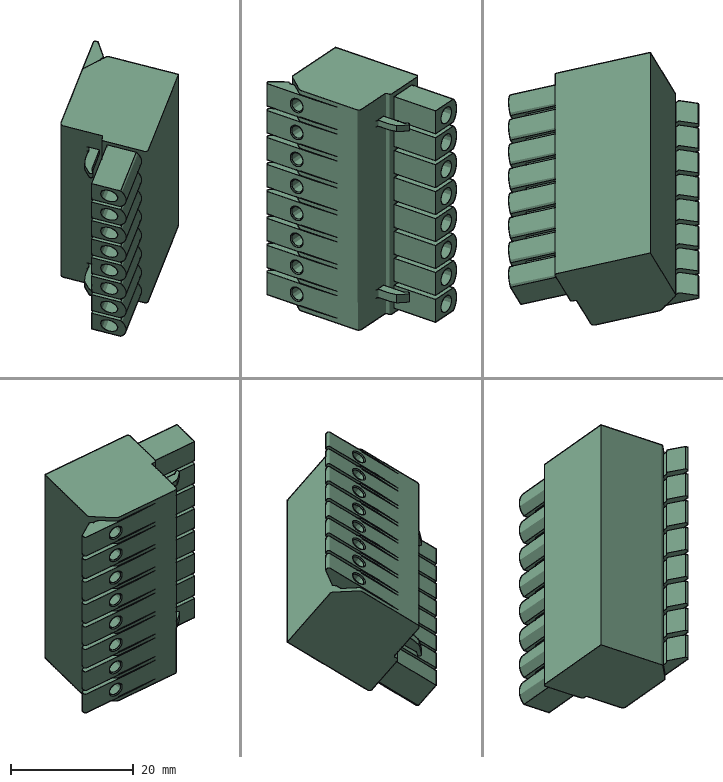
import cadquery as cq
import math


pole_count = 8
height = 40.9
pole_margin = 2.95
pole_pitch = (height - 2 * pole_margin) / (pole_count - 1)
pole_heights = [pole_margin + i * pole_pitch for i in range(pole_count)]

housing_left = 0.15
housing_right = 15.4
housing_back = 24.98
front_left = 9.25
front_right = 8.3
step_x = 7.52
bevel_y = 21.2
bevel_x = 3.23
front_radius = 0.6
step_radius = 0.35
step_root_radius = 0.15
right_radius = 0.5
bevel_side_radius = 1.1
bevel_back_radius = 0.65

sleeve_left = 8.55
sleeve_height = 4.25
sleeve_axis_x = 11.53
sleeve_radius = 2.9
sleeve_bore = 2.9
sleeve_bore_depth = 8.18

web_width = 2.9
web_front = 2.5

lever_height = 4.15
lever_offset_z = 0.1
lever_back = 27.9
lever_tip_width = 0.75
lever_tip_radius = 0.35
lever_nose_x = 2.55
lever_nose_y = 25.2
lever_nose_radius = 0.25
lever_neck_x = 2.2
lever_neck_y = 24.6
lever_root_y = 20.45
ramp_back = 17.85
ramp_front = 13.75

wire_hole_y = 21.7
wire_hole = 2.2
wire_hole_rim = 2.58
wire_hole_depth = 4.1
rim_chamfer = (wire_hole_rim - wire_hole) / 2

latch_inset = 4.0
lower_latch_height = 1.5
upper_latch_height = 1.1
latch_left = 5.27
latch_right = 6.9
latch_flare = 0.45
latch_bend_y = 6.85
latch_knee_start = (5.5, 5.65)
latch_knee_end = (5.72, 5.35)
latch_hook_neck_y = 5.15
latch_hook_x = 7.0
latch_hook_y = 4.5
latch_hook_radius = 0.33


def make_housing():
    """Constant-section housing with a stepped front and a bevelled back corner."""
    body = (
        cq.Workplane("XY")
        .moveTo(housing_left, front_left)
        .lineTo(step_x, front_left)
        .lineTo(step_x, front_right)
        .lineTo(housing_right, front_right)
        .lineTo(housing_right, housing_back)
        .lineTo(bevel_x, housing_back)
        .lineTo(housing_left, bevel_y)
        .close()
        .extrude(height)
    )

    def round_edge(solid, x, y, radius):
        edge = cq.selectors.NearestToPointSelector((x, y, height / 2))
        return solid.edges("|Z").edges(edge).fillet(radius)

    body = round_edge(body, housing_left, front_left, front_radius)
    body = round_edge(body, step_x, front_right, step_radius)
    body = round_edge(body, step_x, front_left, step_root_radius)
    body = round_edge(body, housing_right, front_right, right_radius)
    body = round_edge(body, housing_left, bevel_y, bevel_side_radius)
    return round_edge(body, bevel_x, housing_back, bevel_back_radius)


def make_sleeve(z):
    """Sleeve with three flat sides and a round side concentric with its bore."""
    half_height = sleeve_height / 2
    flat_end_x = sleeve_axis_x + math.sqrt(sleeve_radius**2 - half_height**2)
    return (
        cq.Workplane("XZ")
        .moveTo(sleeve_left, z - half_height)
        .lineTo(flat_end_x, z - half_height)
        .threePointArc((sleeve_axis_x + sleeve_radius, z), (flat_end_x, z + half_height))
        .lineTo(sleeve_left, z + half_height)
        .close()
        .extrude(-front_right)
    )


def make_web():
    """Rib set back from the sleeve tips, running from the first pole to the last."""
    return cq.Workplane("XY").box(
        web_width,
        front_right - web_front,
        pole_heights[-1] - pole_heights[0],
        centered=(True, False, False),
    ).translate((sleeve_axis_x, web_front, pole_heights[0]))


def make_lever(z):
    """Lever standing proud of the housing side, ramping down to it at the front."""
    lever = (
        cq.Workplane("XY")
        .workplane(offset=z + lever_offset_z - lever_height / 2)
        .moveTo(0, lever_back)
        .lineTo(lever_tip_width, lever_back)
        .lineTo(lever_nose_x, lever_nose_y)
        .lineTo(lever_neck_x, lever_neck_y)
        .lineTo(lever_neck_x, lever_root_y)
        .lineTo(housing_left, ramp_front)
        .lineTo(0, ramp_back)
        .close()
        .extrude(lever_height)
    )
    tip = cq.selectors.NearestToPointSelector((0, lever_back, z))
    nose = cq.selectors.NearestToPointSelector((lever_nose_x, lever_nose_y, z))
    lever = lever.edges("|Z").edges(tip).fillet(lever_tip_radius)
    return lever.edges("|Z").edges(nose).fillet(lever_nose_radius)


def make_latch(bottom_z, latch_height):
    """Hooked latch finger with a flared root, a bent knee and a round hook."""
    hook_diagonal = latch_hook_radius * math.sqrt(0.5)
    flare_middle = latch_flare * (1 - math.sqrt(0.5))
    return (
        cq.Workplane("XY")
        .workplane(offset=bottom_z)
        .moveTo(latch_left - latch_flare, front_left)
        .threePointArc(
            (latch_left - flare_middle, front_left - flare_middle),
            (latch_left, front_left - latch_flare),
        )
        .lineTo(latch_left, latch_bend_y)
        .lineTo(*latch_knee_start)
        .lineTo(*latch_knee_end)
        .lineTo(latch_hook_x - hook_diagonal, latch_hook_y - hook_diagonal)
        .threePointArc(
            (latch_hook_x + hook_diagonal, latch_hook_y - hook_diagonal),
            (latch_hook_x + hook_diagonal, latch_hook_y + hook_diagonal),
        )
        .lineTo(latch_right, latch_hook_neck_y)
        .lineTo(latch_right, front_left)
        .close()
        .extrude(latch_height)
    )


def make_wire_hole(z):
    """Blind hole along X with a chamfered rim at the lever face."""
    bore = (
        cq.Workplane("YZ")
        .center(wire_hole_y, z)
        .circle(wire_hole / 2)
        .extrude(wire_hole_depth)
    )
    rim = (
        cq.Workplane("YZ")
        .center(wire_hole_y, z)
        .circle(wire_hole_rim / 2)
        .workplane(offset=rim_chamfer)
        .circle(wire_hole / 2)
        .loft()
    )
    return bore.union(rim)


def make_sleeve_bore(z):
    """Blind hole along Y from the sleeve tip."""
    return (
        cq.Workplane("XZ")
        .center(sleeve_axis_x, z)
        .circle(sleeve_bore / 2)
        .extrude(-sleeve_bore_depth)
    )


result = make_housing().union(make_web())
for pole_z in pole_heights:
    result = result.union(make_sleeve(pole_z)).union(make_lever(pole_z))
result = result.union(make_latch(latch_inset, lower_latch_height))
upper_latch_bottom = height - latch_inset - upper_latch_height
result = result.union(make_latch(upper_latch_bottom, upper_latch_height))
for pole_z in pole_heights:
    result = result.cut(make_sleeve_bore(pole_z)).cut(make_wire_hole(pole_z))